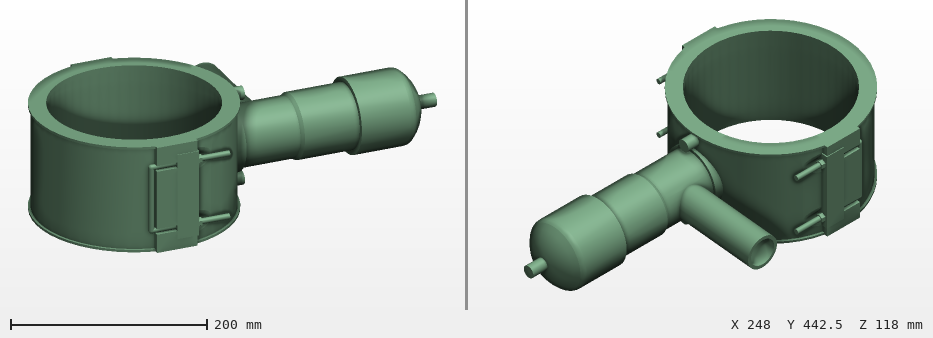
import cadquery as cq
import math


OVERALL_WIDTH = 248.0
OVERALL_LENGTH = 442.5

BORE_RADIUS = 90.0
FLANGE_RADIUS = 108.5
RING_RADIUS = 105.7
RING_HEIGHT = 118.0
FLANGE_THICKNESS = 2.5
HALF_HEIGHT = RING_HEIGHT / 2

EAR_REACH = 110.0
EAR_DEPTH = 22.5
PLATE_THICKNESS = 1.0
PLATE_HEIGHT = 94.5
PLATE_REACH = EAR_REACH + PLATE_THICKNESS
PLATE_DEPTH = 24.0

ROD_DIAMETER = 6.0
ROD_RADIUS = ROD_DIAMETER / 2
ROD_X = 104.5
ROD_Z = 35.5
ROD_END_Y = 60.0
BRIDGE_Y = -26.5
NUT_CORNER_DIAMETER = 10.0
NUT_THICKNESS = 5.0

GROOVE_DIAMETER = 14.5
GROOVE_RIM_RADIUS = 9.0

COLLAR_DIAMETER = 73.0
COLLAR_TOP_Y = 109.5
TUBE_DIAMETER = 66.0
SLEEVE_DIAMETER = 71.0
SLEEVE_START_Y = 171.0
SLEEVE_TAPER_LENGTH = 4.0
CAP_DIAMETER = 81.5
CAP_START_Y = 236.0
DOME_START_Y = 291.0
CROWN_RADIUS = 50.5
KNUCKLE_RADIUS = 9.7
STUD_DIAMETER = 14.5
STUD_TOP_Y = OVERALL_LENGTH - FLANGE_RADIUS

PIPE_DIAMETER = 40.0
PIPE_BORE_DIAMETER = 32.0
PIPE_END_X = PLATE_REACH - OVERALL_WIDTH
PIPE_Y = 136.3
PIPE_BORE_END_X = -TUBE_DIAMETER / 2

PEG_DIAMETER = 14.5
PEG_TOP_Y = 120.5
PEG_Z = 48.0

ROOT_RADIUS = (BORE_RADIUS + RING_RADIUS) / 2


def box_between(x_range, y_range, z_range):
    """Box from its lower and upper limits on each axis."""
    limits = (x_range, y_range, z_range)
    sizes = [high - low for low, high in limits]
    return cq.Workplane("XY").box(*sizes, centered=False).translate(tuple(low for low, high in limits))


def rod_along_y(diameter, start_y, end_y, x=0, z=0):
    """Round rod parallel to Y."""
    return cq.Workplane("XZ", origin=(x, start_y, z)).circle(diameter / 2).extrude(start_y - end_y)


def upright_cylinder(radius, height, x=0, y=0):
    """Cylinder parallel to Z, centred on Z = 0."""
    return cq.Workplane("XY", origin=(x, y, -height / 2)).circle(radius).extrude(height)


def flanged_ring():
    """Full ring without bore: two end flanges and a slightly smaller waist."""
    ring = upright_cylinder(FLANGE_RADIUS, RING_HEIGHT)
    waist_height = RING_HEIGHT - 2 * FLANGE_THICKNESS
    waist = upright_cylinder(RING_RADIUS, waist_height)
    return ring.cut(upright_cylinder(FLANGE_RADIUS, waist_height).cut(waist))


def half_ring(ring, side):
    """Half of a flanged ring with bore and ears; side is +1 for the +Y half and -1 for the -Y half."""
    z_range = (-HALF_HEIGHT, HALF_HEIGHT)
    ears = box_between((-EAR_REACH, EAR_REACH), (-EAR_DEPTH, EAR_DEPTH), z_range)
    bored = ring.union(ears).cut(upright_cylinder(BORE_RADIUS, RING_HEIGHT))
    y_range = sorted((0, side * FLANGE_RADIUS))
    return bored.intersect(box_between((-EAR_REACH, EAR_REACH), y_range, z_range))


def ear_plate(side):
    """Thin plate wrapped round the outer and end faces of one +Y ear."""
    x_range = sorted((side * ROOT_RADIUS, side * PLATE_REACH))
    return box_between(x_range, (0, PLATE_DEPTH), (-PLATE_HEIGHT / 2, PLATE_HEIGHT / 2))


def add_nut_grooves(ring):
    """Ring with a round-rimmed groove parallel to Y at every U-bolt leg."""
    rim_reach = GROOVE_DIAMETER
    for z in (-ROD_Z, ROD_Z):
        ring = ring.cut(rod_along_y(GROOVE_DIAMETER, -FLANGE_RADIUS, FLANGE_RADIUS, ROD_X, z))
        rim = cq.selectors.BoxSelector(
            (ROD_X - rim_reach, -FLANGE_RADIUS, z - rim_reach),
            (ROD_X + rim_reach, FLANGE_RADIUS, z + rim_reach),
        )
        ring = ring.edges(rim).fillet(GROOVE_RIM_RADIUS)
    y_range = (-FLANGE_RADIUS, FLANGE_RADIUS)
    right_side = ring.intersect(box_between((0, FLANGE_RADIUS), y_range, (-HALF_HEIGHT, HALF_HEIGHT)))
    return right_side.union(right_side.mirror("YZ"))


def nut(x, z):
    """Hexagonal nut seated on the ear plate, with a corner on top."""
    workplane = cq.Workplane("XZ", origin=(x, PLATE_DEPTH, z)).transformed(rotate=(0, 0, 90))
    return workplane.polygon(6, NUT_CORNER_DIAMETER).extrude(-NUT_THICKNESS)


def u_bolt(side):
    """Two legs parallel to Y joined by an upright bridge with ball corners, and a nut on each leg."""
    x = side * ROD_X
    bolt = upright_cylinder(ROD_RADIUS, 2 * ROD_Z, x, BRIDGE_Y)
    for z in (-ROD_Z, ROD_Z):
        corner = cq.Workplane("XY", origin=(x, BRIDGE_Y, z)).sphere(ROD_RADIUS)
        bolt = bolt.union(rod_along_y(ROD_DIAMETER, BRIDGE_Y, ROD_END_Y, x, z))
        bolt = bolt.union(corner).union(nut(x, z))
    return bolt


def leg_slot(side, z):
    """Slot that opens the outer face of a -Y ear over one bolt leg."""
    x_range = sorted((side * ROD_X, side * EAR_REACH))
    return box_between(x_range, (-EAR_DEPTH, 0), (z - ROD_RADIUS, z + ROD_RADIUS))


def branch_fitting():
    """Collar, tube, sleeve, domed cap and stud as one revolved profile about Y."""
    tube_radius = TUBE_DIAMETER / 2
    sleeve_radius = SLEEVE_DIAMETER / 2
    cap_radius = CAP_DIAMETER / 2
    stud_radius = STUD_DIAMETER / 2

    knuckle_center_r = cap_radius - KNUCKLE_RADIUS
    center_distance = CROWN_RADIUS - KNUCKLE_RADIUS
    crown_angle = math.asin(knuckle_center_r / center_distance)
    crown_center_y = DOME_START_Y - center_distance * math.cos(crown_angle)
    middle_angle = (crown_angle + math.pi / 2) / 2
    stud_angle = math.asin(stud_radius / CROWN_RADIUS)

    def crown_point(angle):
        return (CROWN_RADIUS * math.sin(angle), crown_center_y + CROWN_RADIUS * math.cos(angle))

    knuckle_middle = (
        knuckle_center_r + KNUCKLE_RADIUS * math.sin(middle_angle),
        DOME_START_Y + KNUCKLE_RADIUS * math.cos(middle_angle),
    )
    profile = (
        cq.Workplane("XY")
        .moveTo(0, ROOT_RADIUS)
        .lineTo(COLLAR_DIAMETER / 2, ROOT_RADIUS)
        .lineTo(COLLAR_DIAMETER / 2, COLLAR_TOP_Y)
        .lineTo(tube_radius, COLLAR_TOP_Y)
        .lineTo(tube_radius, SLEEVE_START_Y)
        .lineTo(sleeve_radius, SLEEVE_START_Y + SLEEVE_TAPER_LENGTH)
        .lineTo(sleeve_radius, CAP_START_Y)
        .lineTo(cap_radius, CAP_START_Y)
        .lineTo(cap_radius, DOME_START_Y)
        .threePointArc(knuckle_middle, crown_point(crown_angle))
        .threePointArc(crown_point((crown_angle + stud_angle) / 2), crown_point(stud_angle))
        .lineTo(stud_radius, STUD_TOP_Y)
        .lineTo(0, STUD_TOP_Y)
        .close()
    )
    return profile.revolve(360, (0, 0, 0), (0, 1, 0))


def pipe_cylinder(diameter, end_x):
    """Cylinder along the side pipe axis, from the open pipe end to end_x."""
    workplane = cq.Workplane("YZ", origin=(PIPE_END_X, PIPE_Y, 0))
    return workplane.circle(diameter / 2).extrude(end_x - PIPE_END_X)


def build_branch_half(bolts):
    """+Y half with ear plates, U-bolts, branch fitting, side pipe and pegs."""
    body = half_ring(add_nut_grooves(flanged_ring()), 1)
    for side in (-1, 1):
        body = body.union(ear_plate(side))
    for bolt in bolts:
        body = body.union(bolt)
    body = body.union(branch_fitting())
    body = body.union(pipe_cylinder(PIPE_DIAMETER, 0))
    body = body.cut(pipe_cylinder(PIPE_BORE_DIAMETER, PIPE_BORE_END_X))
    for z in (-PEG_Z, PEG_Z):
        body = body.union(rod_along_y(PEG_DIAMETER, ROOT_RADIUS, PEG_TOP_Y, z=z))
    return body


def build_plain_half(bolts):
    """-Y half, relieved to receive the U-bolts."""
    body = half_ring(flanged_ring(), -1)
    for side in (-1, 1):
        for z in (-ROD_Z, ROD_Z):
            body = body.cut(leg_slot(side, z))
    for bolt in bolts:
        body = body.cut(bolt)
    return body


u_bolts = [u_bolt(side) for side in (-1, 1)]
branch_half = build_branch_half(u_bolts)
plain_half = build_plain_half(u_bolts)

result = cq.Compound.makeCompound([branch_half.solids().val(), plain_half.solids().val()])